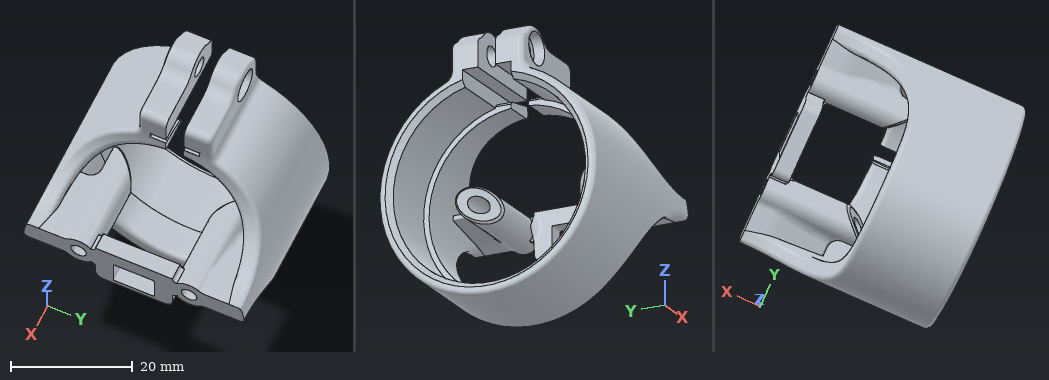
import cadquery as cq
import math

length = 34.0
ring_end = 18.0
outer_radius = 20.0
bore_radius = 17.65
lip_radius = 16.7
lip_start = 12.05
bore_chamfer = 1.0
lip_round = 0.95
edge_round = 0.9

arm_z = 2.7
arm_half_height = 2.05
saddle_radius = length - ring_end

lug_half_width = 6.7
lug_top = 24.8
lug_corner_radius = 1.5
lug_base_radius = 2.0
knuckle_x = 5.0
knuckle_z = 23.35
knuckle_radius = 4.05
clamp_hole_diameter = 3.5
counterbore_diameter = 5.8
counterbore_depth = 2.0
gap_width = 3.2
slot_half_width = 4.45
slot_roof = 19.85
ramp_base = 17.35
ramp_bevel = 0.5
ramp_top = 18.9

boss_y = 10.0
boss_diameter = 6.0
boss_hole_diameter = 2.8
boss_rim = 0.4
boss_start = 13.25
boss_end_cone_tip = 27.3
web_start = 20.35
web_start_half_height = 0.45
web_nose_round = 0.4
web_full_x = 29.95
web_blend_radius = 11.85
web_boss_fillet = 2.0
plate_thickness = 3.05
plate_half_width = 6.95
plate_bottom = -3.25
plate_top = 5.65
plate_corner_radius = 1.5
plate_cove_radius = 1.5
link_fillet = 0.8
window_width = 7.4
window_bottom = -2.3
window_top = 2.65
window_corner_radius = 0.3


def x_cylinder(radius, start, end, y=0.0, z=0.0):
    """Cylinder along X from x = start to x = end."""
    return cq.Workplane("YZ", origin=(start, y, z)).circle(radius).extrude(end - start)


def box(x_range, y_range, z_range):
    """Box given by its limits along each axis."""
    size = [high - low for low, high in (x_range, y_range, z_range)]
    return cq.Workplane("XY").box(*size, centered=False).translate((x_range[0], y_range[0], z_range[0]))


def end_outline():
    """Ring and lug seen along X, with concave arcs where the lug meets the ring."""
    arc_y = lug_half_width + lug_base_radius
    arc_z = math.sqrt((outer_radius + lug_base_radius) ** 2 - arc_y ** 2)
    lug_height = 2 * outer_radius - arc_z
    shift = outer_radius / (outer_radius + lug_base_radius)
    foot_y = arc_y * shift
    foot_z = arc_z * shift
    half_angle = (math.pi + math.atan2(-arc_z, -arc_y) % (2 * math.pi)) / 2
    mid_y = arc_y + lug_base_radius * math.cos(half_angle)
    mid_z = arc_z + lug_base_radius * math.sin(half_angle)
    return (
        cq.Workplane("YZ")
        .moveTo(foot_y, foot_z)
        .threePointArc((0, -outer_radius), (-foot_y, foot_z))
        .threePointArc((-mid_y, mid_z), (-lug_half_width, arc_z))
        .lineTo(-lug_half_width, arc_z + lug_height)
        .lineTo(lug_half_width, arc_z + lug_height)
        .lineTo(lug_half_width, arc_z)
        .threePointArc((mid_y, mid_z), (foot_y, foot_z))
        .close()
        .extrude(length)
    )


def side_outline():
    """Outline seen along Y: lug top with its knuckle, ring ends and both round cut-outs."""
    valley_z = lug_top + knuckle_radius
    valley_dx = math.sqrt((2 * knuckle_radius) ** 2 - (valley_z - knuckle_z) ** 2)
    front_valley_x = knuckle_x - valley_dx
    rear_valley_x = knuckle_x + valley_dx
    valley_join_z = (valley_z + knuckle_z) / 2

    corner = lug_corner_radius
    reach = knuckle_radius + corner
    front_corner_z = valley_z - math.sqrt(reach ** 2 - (corner - front_valley_x) ** 2)
    blend = knuckle_radius / reach
    front_join_x = front_valley_x + (corner - front_valley_x) * blend
    front_join_z = valley_z + (front_corner_z - valley_z) * blend

    upper_z = arm_z + arm_half_height + saddle_radius
    lower_z = arm_z - arm_half_height - saddle_radius
    diagonal = saddle_radius * math.sqrt(0.5)
    half_width = 2 * outer_radius
    return (
        cq.Workplane("XZ", origin=(0, half_width / 2, 0))
        .moveTo(0, -outer_radius)
        .lineTo(0, front_corner_z)
        .tangentArcPoint((front_join_x, front_join_z), relative=False)
        .tangentArcPoint((knuckle_x - valley_dx / 2, valley_join_z), relative=False)
        .threePointArc(
            (knuckle_x, knuckle_z + knuckle_radius),
            (knuckle_x + valley_dx / 2, valley_join_z),
        )
        .tangentArcPoint((rear_valley_x, lug_top), relative=False)
        .lineTo(ring_end - corner, lug_top)
        .tangentArcPoint((ring_end, lug_top - corner), relative=False)
        .lineTo(ring_end, upper_z)
        .tangentArcPoint((length, upper_z - saddle_radius), relative=False)
        .lineTo(length, lower_z + saddle_radius)
        .threePointArc((length - diagonal, lower_z + diagonal), (ring_end, lower_z))
        .lineTo(ring_end, -outer_radius)
        .close()
        .extrude(half_width)
    )


def rounded_body():
    """Solid outer form with its outer edges rounded."""
    body = end_outline().intersect(side_outline())
    rounded = body.edges("not(|X or |Y)").filter(lambda e: e.BoundingBox().xmin < length - 0.05)
    return rounded.fillet(edge_round)


def bore():
    """Stepped bore with a lead-in chamfer at the open end."""
    profile = [
        (0, 0),
        (0, bore_radius + bore_chamfer),
        (bore_chamfer, bore_radius),
        (lip_start, bore_radius),
        (lip_start, lip_radius),
        (length, lip_radius),
        (length, 0),
    ]
    return cq.Workplane("XY").polyline(profile).close().revolve(360, (0, 0, 0), (1, 0, 0))


def bored_body():
    """Body with its bore, rounded where the lip ends along the cut-outs."""
    body = rounded_body().cut(bore())
    lip_end = body.edges("not(|X or |Y)").filter(
        lambda e: e.BoundingBox().xmin > lip_start + 0.47
        and abs(math.hypot(e.startPoint().y, e.startPoint().z) - lip_radius) < 0.005
        and e.BoundingBox().xmin < length - 0.05
    )
    return lip_end.fillet(lip_round)


def lug_cuts():
    """Clamping gap, ramped slot under the lug and the counterbored clamp screw hole."""
    half_gap = gap_width / 2
    lug_x = (0, ring_end + lug_base_radius)
    gap = box(lug_x, (-half_gap, half_gap), (lip_radius / 2, 2 * outer_radius))
    slot_profile = [
        (0, slot_roof),
        (0, lip_radius / 2),
        (lip_start, lip_radius / 2),
        (lip_start, ramp_base),
        (lip_start + ramp_bevel, ramp_base + ramp_bevel),
        (ring_end, ramp_top),
        (lug_x[1], ramp_top),
        (lug_x[1], slot_roof),
    ]
    slot = cq.Workplane("XZ").polyline(slot_profile).close().extrude(slot_half_width, both=True)
    knuckle = cq.Workplane("XZ", origin=(knuckle_x, 0, knuckle_z))
    cuts = gap.union(slot).union(knuckle.circle(clamp_hole_diameter / 2).extrude(outer_radius, both=True))
    floor_y = lug_half_width - counterbore_depth
    for side in (-1, 1):
        counterbore = (
            knuckle.workplane(offset=side * floor_y)
            .circle(counterbore_diameter / 2)
            .extrude(side * outer_radius)
        )
        cuts = cuts.union(counterbore)
    return cuts


def boss():
    """Screw boss whose inner end is bevelled to a cone around the ring axis."""
    reach = boss_end_cone_tip
    cone = (
        cq.Workplane("XY")
        .polyline([(0, 0), (reach, 0), (0, reach)])
        .close()
        .revolve(360, (0, 0, 0), (1, 0, 0))
    )
    post = x_cylinder(boss_diameter / 2, boss_start, length, boss_y, arm_z).cut(cone)
    return post.edges("<X").chamfer(boss_rim)


def web():
    """Web joining a boss to the arm, tapering towards the open end of the ring."""
    outline = [
        (web_start, -web_start_half_height),
        (web_full_x, -arm_half_height),
        (length, -arm_half_height),
        (length, arm_half_height),
        (web_full_x, arm_half_height),
        (web_start, web_start_half_height),
    ]
    wall_radius = (lip_radius + outer_radius) / 2
    strip = cq.Workplane("XZ", origin=(0, boss_y, arm_z)).polyline(outline).close().extrude(boss_y - wall_radius)
    blend_edges = cq.selectors.BoxSelector((web_full_x - 0.47, 0, -length), (web_full_x + 0.47, length, length))
    strip = strip.edges("|Y").edges(blend_edges).fillet(web_blend_radius)
    strip = strip.edges("|Y and <X").fillet(web_nose_round)
    return strip.intersect(x_cylinder(wall_radius, 0, length))


def boss_and_web():
    """Boss and web joined by long fillets."""
    body = boss().union(web())
    joint = cq.selectors.BoxSelector(
        (web_start, boss_y + 1.4, 0), (length, boss_y + boss_diameter / 2 + 0.05, 2 * arm_z)
    )
    return body.edges(joint).edges("not(|Y or |Z)").fillet(web_boss_fillet)


def cross_plate():
    """Plate between the bosses with a window, joined to each boss by a cove."""
    front = length - plate_thickness
    plate = (
        box((front, length), (-plate_half_width, plate_half_width), (plate_bottom, plate_top))
        .edges("|X and <Z")
        .fillet(plate_corner_radius)
    )
    link_z = (arm_z - arm_half_height, arm_z + arm_half_height)
    link = box((front, length), (-boss_y, boss_y), link_z)
    plate = plate.union(link)
    corner_box = cq.selectors.BoxSelector(
        (0, -plate_half_width - 0.05, link_z[0] - 0.05), (length, plate_half_width + 0.05, link_z[1] + 0.05)
    )
    plate = plate.edges("|X").edges(corner_box).fillet(link_fillet)
    window = (
        box((front, length), (-window_width / 2, window_width / 2), (window_bottom, window_top))
        .edges("|X")
        .fillet(window_corner_radius)
    )
    bound = box((0, length), (-plate_half_width, plate_half_width), (plate_bottom, plate_top))
    inner = boss_diameter / 2
    diagonal = plate_cove_radius * math.sqrt(0.5)
    for side in (-1, 1):
        cove = (
            cq.Workplane("XY")
            .moveTo(front - plate_cove_radius, 0)
            .lineTo(front - plate_cove_radius, inner)
            .threePointArc(
                (front - plate_cove_radius + diagonal, inner + plate_cove_radius - diagonal),
                (front, inner + plate_cove_radius),
            )
            .lineTo(front, 0)
            .close()
            .revolve(360, (0, 0, 0), (1, 0, 0))
            .translate((0, side * boss_y, arm_z))
        )
        plate = plate.union(cove.intersect(bound))
    return plate.cut(window)


def holder():
    """Bosses, webs and cross plate carried between the arms."""
    half = boss_and_web()
    body = cross_plate().union(half).union(half.mirror("XZ"))
    for side in (-1, 1):
        body = body.cut(x_cylinder(boss_hole_diameter / 2, 0, length, side * boss_y, arm_z))
    return body


result = bored_body().cut(lug_cuts()).union(holder())